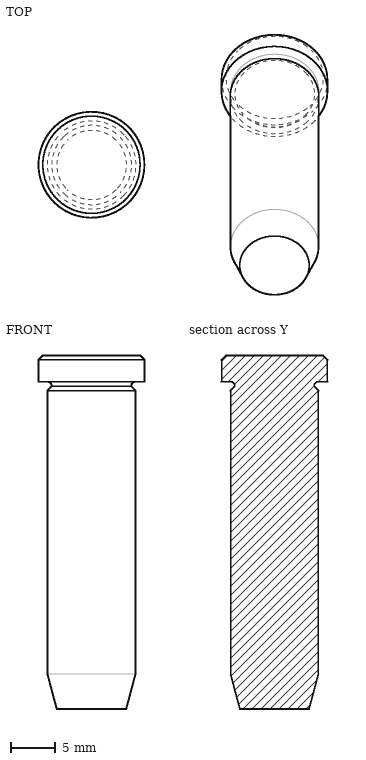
import cadquery as cq
import math

total_length = 40.0
head_diameter = 12.0
head_height = 3.0
head_chamfer = head_height / 6
shank_diameter = 10.0

undercut_width = 1.0
undercut_depth = undercut_width / 2

tip_length = 4.0
tip_angle = 15.0

head_radius = head_diameter / 2
shank_radius = shank_diameter / 2
neck_radius = shank_radius - undercut_depth
tip_radius = shank_radius - tip_length * math.tan(math.radians(tip_angle))

head_underside = total_length - head_height
shank_top = head_underside - undercut_width
neck_bottom = shank_top + undercut_depth
fillet_radius = head_underside - neck_bottom

fillet_mid_offset = fillet_radius * (1 - math.sqrt(0.5))
fillet_mid = (neck_radius + fillet_mid_offset, head_underside - fillet_mid_offset)

profile = (
    cq.Workplane("XZ")
    .moveTo(0, 0)
    .lineTo(tip_radius, 0)
    .lineTo(shank_radius, tip_length)
    .lineTo(shank_radius, shank_top)
    .lineTo(neck_radius, neck_bottom)
    .threePointArc(fillet_mid, (neck_radius + fillet_radius, head_underside))
    .lineTo(head_radius, head_underside)
    .lineTo(head_radius, total_length - head_chamfer)
    .lineTo(head_radius - head_chamfer, total_length)
    .lineTo(0, total_length)
    .close()
)

result = profile.revolve(360, (0, 0, 0), (0, 1, 0))